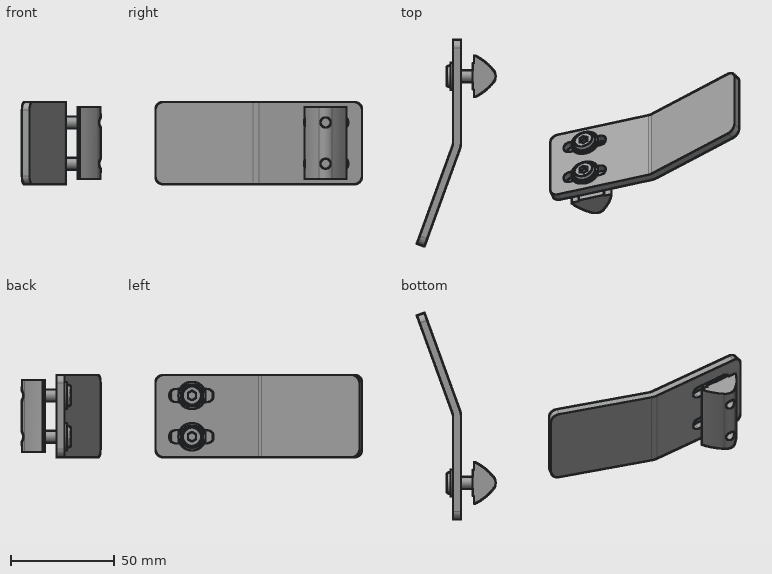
import cadquery as cq
import math

plate_thickness = 4.0
plate_height = 40.0
straight_leg = 50.0
flange_leg = 50.4
bend_angle = 20.0
bend_radius = 4.5
corner_radius = 4.0
screw_to_plate_end = 17.75

slot_width = 6.4
slot_length = 21.4
slot_to_plate_end = 17.5

screw_spacing = 20.0
shank_diameter = 6.0
shank_length = 16.0
flange_diameter = 13.27
flange_thickness = 1.2
dome_base_diameter = 10.8
dome_top_diameter = 8.9
dome_height = 1.8
dome_bulge = 0.15
socket_across_flats = 4.0
socket_depth = 2.0

nut_height = 35.0
nut_depth = 11.2
nut_half_width = 10.15
nut_gap = 5.58
step_depth = 0.6
step_half_width = 6.2
step_slant = 0.35
tip_radius = 0.5
nose_radius = 4.6
nose_half_angle = 44.0
flank_bulge = 0.6
tapping_diameter = 4.92

plate_end_y = screw_to_plate_end
bend_start_y = plate_end_y - straight_leg
screw_heights = [-screw_spacing / 2, screw_spacing / 2]


def point_on_bend(radius, angle):
    """Point on the bend, whose axis lies on the -X side of the plate."""
    turn = math.radians(angle)
    return (-bend_radius + radius * math.cos(turn), bend_start_y - radius * math.sin(turn))


def along_flange(start):
    """Point at the free end of the flange leg, measured from a point at its root."""
    lean = math.radians(bend_angle)
    return (start[0] - flange_leg * math.sin(lean), start[1] - flange_leg * math.cos(lean))


def build_plate():
    outside_radius = bend_radius + plate_thickness
    inside_root = point_on_bend(bend_radius, bend_angle)
    outside_root = point_on_bend(outside_radius, bend_angle)
    plate = (
        cq.Workplane("XY")
        .moveTo(0, plate_end_y)
        .lineTo(0, bend_start_y)
        .threePointArc(point_on_bend(bend_radius, bend_angle / 2), inside_root)
        .lineTo(*along_flange(inside_root))
        .lineTo(*along_flange(outside_root))
        .lineTo(*outside_root)
        .threePointArc(point_on_bend(outside_radius, bend_angle / 2), (plate_thickness, bend_start_y))
        .lineTo(plate_thickness, plate_end_y)
        .close()
        .extrude(plate_height / 2, both=True)
    )
    plate = plate.faces(">Y").edges("|X").fillet(corner_radius)
    plate = plate.faces("<Y").edges("not |Z").fillet(corner_radius)
    for height in screw_heights:
        slot = (
            cq.Workplane("YZ")
            .center(plate_end_y - slot_to_plate_end, height)
            .slot2D(slot_length, slot_width)
            .extrude(plate_thickness)
        )
        plate = plate.cut(slot)
    return plate


def build_nut():
    base_x = plate_thickness + nut_gap
    shoulder_x = base_x + step_depth
    tip_x = shoulder_x + tip_radius
    tip_start_y = nut_half_width - tip_radius
    tip_middle_x = tip_x - tip_radius * math.sqrt(0.5)
    tip_middle_y = tip_start_y + tip_radius * math.sqrt(0.5)
    apex_x = base_x + nut_depth
    half_angle = math.radians(nose_half_angle)
    nose_y = nose_radius * math.sin(half_angle)
    nose_x = apex_x - nose_radius * (1 - math.cos(half_angle))
    flank = math.hypot(nose_x - tip_x, nut_half_width - nose_y)
    flank_x = (tip_x + nose_x) / 2 + flank_bulge * (nut_half_width - nose_y) / flank
    flank_y = (nut_half_width + nose_y) / 2 + flank_bulge * (nose_x - tip_x) / flank
    nut = (
        cq.Workplane("XY")
        .moveTo(base_x, -step_half_width)
        .lineTo(shoulder_x, -step_half_width - step_slant)
        .lineTo(shoulder_x, -tip_start_y)
        .threePointArc((tip_middle_x, -tip_middle_y), (tip_x, -nut_half_width))
        .threePointArc((flank_x, -flank_y), (nose_x, -nose_y))
        .threePointArc((apex_x, 0), (nose_x, nose_y))
        .threePointArc((flank_x, flank_y), (tip_x, nut_half_width))
        .threePointArc((tip_middle_x, tip_middle_y), (shoulder_x, tip_start_y))
        .lineTo(shoulder_x, step_half_width + step_slant)
        .lineTo(base_x, step_half_width)
        .close()
        .extrude(nut_height / 2, both=True)
    )
    holes = cq.Workplane("YZ").pushPoints([(0, height) for height in screw_heights])
    nut = nut.cut(holes.circle(shank_diameter / 2).extrude(shank_length))
    return nut.cut(holes.circle(tapping_diameter / 2).extrude(apex_x))


def build_screw(height):
    """One screw along X, its flange resting on the outer face of the plate."""
    head_x = -flange_thickness - dome_height
    dome_middle = (
        -flange_thickness - dome_height / 2 - dome_bulge,
        (dome_base_diameter + dome_top_diameter) / 4 + dome_bulge,
    )
    screw = (
        cq.Workplane("XY")
        .moveTo(head_x, 0)
        .lineTo(head_x, dome_top_diameter / 2)
        .threePointArc(dome_middle, (-flange_thickness, dome_base_diameter / 2))
        .lineTo(-flange_thickness, flange_diameter / 2)
        .lineTo(0, flange_diameter / 2)
        .lineTo(0, shank_diameter / 2)
        .lineTo(shank_length, shank_diameter / 2)
        .lineTo(shank_length, 0)
        .close()
        .revolve(360, (0, 0, 0), (1, 0, 0))
    )
    socket = (
        cq.Workplane("YZ", origin=(head_x, 0, 0))
        .polygon(6, socket_across_flats, circumscribed=True)
        .extrude(socket_depth)
    )
    return screw.cut(socket).translate((0, 0, height))


plate = build_plate()
nut = build_nut()
screws = [build_screw(height) for height in screw_heights]

result = cq.Compound.makeCompound([plate.val(), nut.val(), *[screw.val() for screw in screws]])